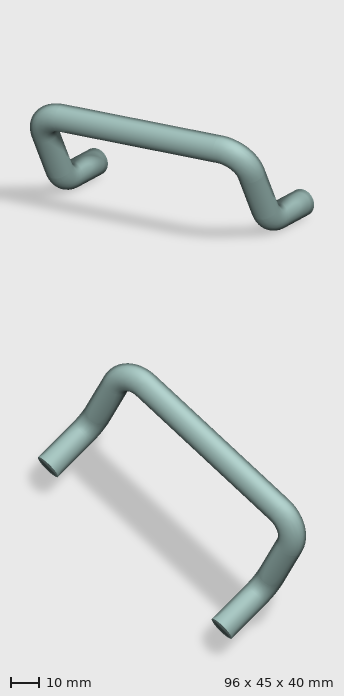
import cadquery as cq
import math

overall_width = 96.0
rod_diameter = 10.0
bend_radius = 10.0
foot_length = 16.9
arm_length = 18.9
arm_angle = 60.0

foot_x = (overall_width - rod_diameter) / 2
grip_half = foot_x - bend_radius


def foot_bend_point(angle):
    """Centreline (y, z) after turning from the foot by an angle in degrees."""
    turn = math.radians(angle)
    return -foot_length - bend_radius * math.sin(turn), bend_radius * (1 - math.cos(turn))


arm_start = foot_bend_point(arm_angle)


def arm_point(x, distance):
    """Point in the inclined plane, at a distance up the slope from the arm start."""
    slope = math.radians(arm_angle)
    y = arm_start[0] - distance * math.cos(slope)
    z = arm_start[1] + distance * math.sin(slope)
    return cq.Vector(x, y, z)


def half_centreline(side):
    """Edges from one foot to its end of the grip; side is -1 or +1."""
    x = side * foot_x
    foot_end = cq.Vector(x, 0, 0)
    foot_start = cq.Vector(x, -foot_length, 0)
    foot_bend_middle = cq.Vector(x, *foot_bend_point(arm_angle / 2))

    diagonal = bend_radius * math.sqrt(0.5)
    corner_middle = arm_point(side * (grip_half + diagonal), arm_length + diagonal)
    arm_end = arm_point(x, arm_length)
    grip_end = arm_point(side * grip_half, arm_length + bend_radius)
    return [
        cq.Edge.makeLine(foot_end, foot_start),
        cq.Edge.makeThreePointArc(foot_start, foot_bend_middle, arm_point(x, 0)),
        cq.Edge.makeLine(arm_point(x, 0), arm_end),
        cq.Edge.makeThreePointArc(arm_end, corner_middle, grip_end),
    ]


grip_height = arm_length + bend_radius
grip = cq.Edge.makeLine(arm_point(-grip_half, grip_height), arm_point(grip_half, grip_height))
centreline = cq.Wire.assembleEdges(half_centreline(-1) + [grip] + half_centreline(1)[::-1])

result = (
    cq.Workplane("XZ", origin=(-foot_x, 0, 0))
    .circle(rod_diameter / 2)
    .sweep(cq.Workplane(centreline))
)